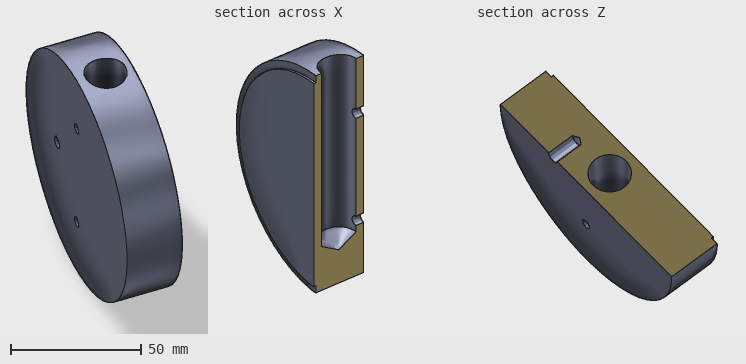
import cadquery as cq
import math

disc_diameter = 101.6
total_thickness = 24.0
step_height = 1.0
step_diameter = 95.0
disc_thickness = total_thickness - step_height
disc_radius = disc_diameter / 2

bore_diameter = 16.5
bore_y = total_thickness / 2
bore_bottom_z = -30.0
bore_depth = disc_radius - bore_bottom_z

port_diameter = 4.13
port_offset_z = 25.0

side_hole_diameter = 4.92
side_hole_x = -19.6
side_hole_depth = 12.0

drill_point_angle = 118.0

BACK = cq.Vector(0, 1, 0)
DOWN = cq.Vector(0, 0, -1)


def cylinder(diameter, length, start, direction):
    return cq.Solid.makeCylinder(diameter / 2, length, start, direction)


def drilled_hole(diameter, depth, start, direction):
    """Blind hole with a conical drill point beyond its full-diameter depth."""
    radius = diameter / 2
    tip_length = radius / math.tan(math.radians(drill_point_angle / 2))
    shank = cylinder(diameter, depth, start, direction)
    tip_start = start + direction * depth
    tip = cq.Solid.makeCone(radius, 0, tip_length, tip_start, direction)
    return shank.fuse(tip)


def make_body():
    """Disc with a slightly smaller raised step on its back face."""
    disc = cylinder(disc_diameter, disc_thickness, cq.Vector(0, 0, 0), BACK)
    step = cylinder(step_diameter, step_height, cq.Vector(0, disc_thickness, 0), BACK)
    return cq.Workplane(obj=disc).union(cq.Workplane(obj=step))


def make_bore():
    return drilled_hole(bore_diameter, bore_depth, cq.Vector(0, bore_y, disc_radius), DOWN)


def make_port(z):
    """Hole from the front face that ends on the bore axis."""
    return cylinder(port_diameter, bore_y, cq.Vector(0, 0, z), BACK)


def make_side_hole():
    return drilled_hole(side_hole_diameter, side_hole_depth, cq.Vector(side_hole_x, 0, 0), BACK)


result = make_body().cut(make_bore()).cut(make_side_hole())
for port_z in (-port_offset_z, port_offset_z):
    result = result.cut(make_port(port_z))